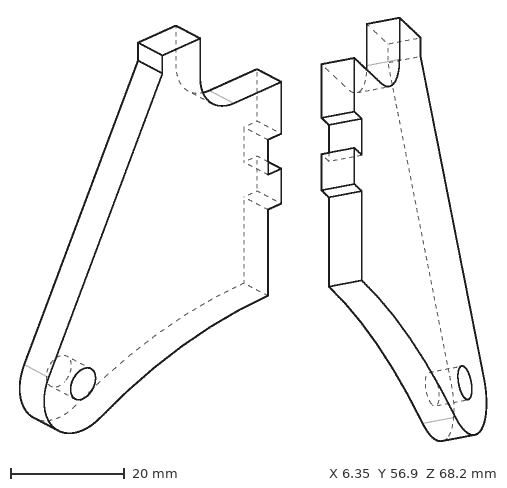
import cadquery as cq
import math

thickness = 6.35
overall_length = 56.9
overall_height = 68.25
hole_diameter = 6.0
lug_radius = 9.35

back_y = overall_length - lug_radius
top_z = overall_height - lug_radius

post_back_y = 28.1
post_front_y = 19.05
post_front_bottom_z = 55.3

shoulder_z = 42.8
shoulder_fillet = 8.05
notch_depth = 3.2
notch_top_z = 32.35
tooth_height = 7.0
notch_height = 7.0
bottom_z = 0.95

inner_y = back_y - notch_depth
tooth_top_z = notch_top_z - notch_height
tooth_bottom_z = tooth_top_z - tooth_height


def lug_point(angle):
    """Point on the lug circle at an angle from +Y towards +Z."""
    return (lug_radius * math.cos(angle), lug_radius * math.sin(angle))


post_distance = math.hypot(post_front_y, post_front_bottom_z)
post_angle = math.atan2(post_front_bottom_z, post_front_y)
front_tangent_angle = post_angle + math.acos(lug_radius / post_distance)

belly_radius = (inner_y**2 + bottom_z**2 - lug_radius**2) / (2 * (lug_radius + bottom_z))
belly_center_z = bottom_z - belly_radius
belly_tangent_angle = math.atan2(belly_center_z, inner_y)
belly_mid_angle = (math.pi / 2 + belly_tangent_angle + math.pi) / 2
belly_mid = (
    inner_y + belly_radius * math.cos(belly_mid_angle),
    belly_center_z + belly_radius * math.sin(belly_mid_angle),
)

lug_mid_angle = (front_tangent_angle + belly_tangent_angle + 2 * math.pi) / 2

fillet_center_y = post_back_y + shoulder_fillet
fillet_center_z = shoulder_z + shoulder_fillet
fillet_mid_offset = shoulder_fillet * math.sqrt(0.5)
fillet_mid = (fillet_center_y - fillet_mid_offset, fillet_center_z - fillet_mid_offset)

plate = (
    cq.Workplane("YZ")
    .moveTo(post_back_y, top_z)
    .lineTo(post_front_y, top_z)
    .lineTo(post_front_y, post_front_bottom_z)
    .lineTo(*lug_point(front_tangent_angle))
    .threePointArc(lug_point(lug_mid_angle), lug_point(belly_tangent_angle))
    .threePointArc(belly_mid, (inner_y, bottom_z))
    .lineTo(inner_y, tooth_bottom_z)
    .lineTo(back_y, tooth_bottom_z)
    .lineTo(back_y, tooth_top_z)
    .lineTo(inner_y, tooth_top_z)
    .lineTo(inner_y, notch_top_z)
    .lineTo(back_y, notch_top_z)
    .lineTo(back_y, shoulder_z)
    .lineTo(fillet_center_y, shoulder_z)
    .threePointArc(fillet_mid, (post_back_y, fillet_center_z))
    .close()
    .extrude(thickness)
)

pivot_hole = cq.Workplane("YZ").circle(hole_diameter / 2).extrude(thickness)

result = plate.cut(pivot_hole).translate((-thickness / 2, 0, 0))